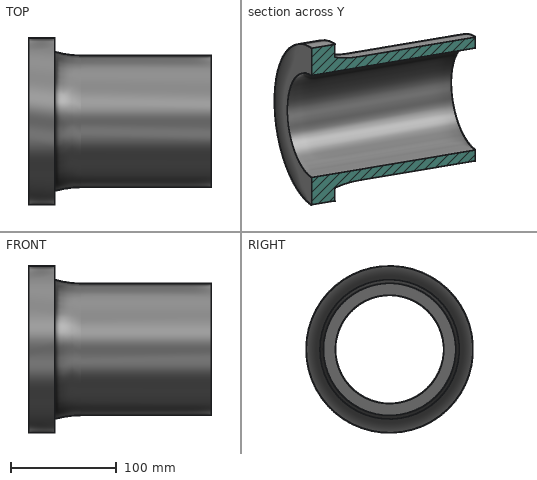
import cadquery as cq
import math

total_length = 173.0
flange_diameter = 158.0
flange_thickness = 25.0
pipe_diameter = 125.0
wall_thickness = 11.4
neck_length = 24.5
neck_rise = 3.4

flange_radius = flange_diameter / 2
pipe_radius = pipe_diameter / 2
bore_radius = pipe_radius - wall_thickness
neck_end = flange_thickness + neck_length

neck_arc_radius = (neck_length**2 + neck_rise**2) / (2 * neck_rise)


def neck_height(distance):
    """Radius of the neck at a distance from its pipe end, towards the flange."""
    return pipe_radius + neck_arc_radius - math.sqrt(neck_arc_radius**2 - distance**2)


def stub_end():
    """Flange, flared neck and pipe with a straight bore, revolved about X."""
    neck_middle = (neck_end - neck_length / 2, -neck_height(neck_length / 2))
    neck_start = (flange_thickness, -neck_height(neck_length))
    section = (
        cq.Workplane("XY")
        .moveTo(0, -bore_radius)
        .lineTo(0, -flange_radius)
        .lineTo(flange_thickness, -flange_radius)
        .lineTo(*neck_start)
        .threePointArc(neck_middle, (neck_end, -pipe_radius))
        .lineTo(total_length, -pipe_radius)
        .lineTo(total_length, -bore_radius)
        .close()
    )
    return section.revolve(360, (0, 0, 0), (1, 0, 0))


result = stub_end()